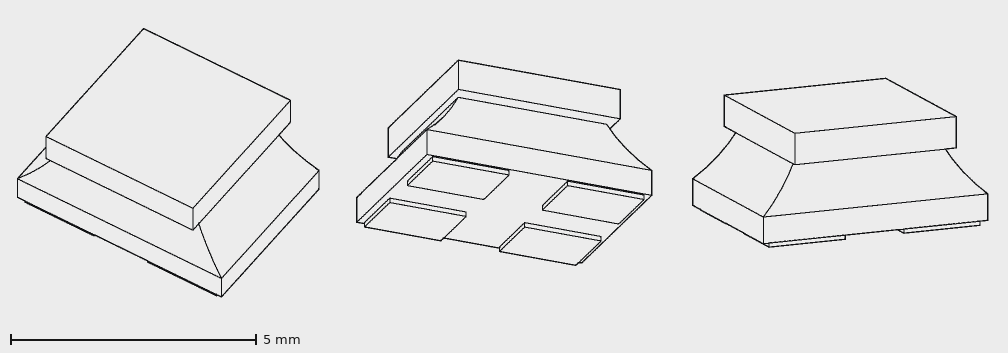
import cadquery as cq

base_length = 5.0
base_width = 3.6
cap_side = base_width

pad_height = 0.1
base_height = 0.56
neck_height = 1.03
cap_height = 0.66
base_bottom = pad_height
neck_bottom = base_bottom + base_height
cap_bottom = neck_bottom + neck_height

end_flare_run = 0.85
end_flare_radius = 3.55
side_flare_run = 0.355
side_flare_radius = 5.0

pad_length = 1.7
pad_width = 1.3
pad_end_inset = 0.15
pad_side_inset = 0.05


def block(length, width, height, bottom):
    """Rectangular block centred on the Z axis."""
    return cq.Workplane("XY").workplane(offset=bottom).rect(length, width).extrude(height)


def flared_prism(plane, bottom_width, flare_run, flare_radius, depth):
    """Prism with a flat bottom and top and two concave arc flanks."""
    bottom_half = bottom_width / 2
    top_half = bottom_half - flare_run
    return (
        cq.Workplane(plane)
        .moveTo(-bottom_half, neck_bottom)
        .lineTo(bottom_half, neck_bottom)
        .radiusArc((top_half, cap_bottom), flare_radius)
        .lineTo(-top_half, cap_bottom)
        .radiusArc((-bottom_half, neck_bottom), flare_radius)
        .close()
        .extrude(depth / 2, both=True)
    )


def make_neck():
    """Neck common to the end-flared and side-flared prisms."""
    end_flared = flared_prism("XZ", base_length, end_flare_run, end_flare_radius, base_width)
    side_flared = flared_prism("YZ", base_width, side_flare_run, side_flare_radius, base_length)
    return end_flared.intersect(side_flared)


def make_housing():
    """One-piece housing: base slab, flared neck and overhanging cap."""
    base = block(base_length, base_width, base_height, base_bottom)
    cap = block(cap_side, cap_side, cap_height, cap_bottom)
    return base.union(make_neck()).union(cap)


def make_pad(center_x, center_y):
    """Flat contact pad touching the underside of the base."""
    return block(pad_length, pad_width, pad_height, 0).translate((center_x, center_y, 0))


pad_center_x = (base_length - pad_length) / 2 - pad_end_inset
pad_center_y = (base_width - pad_width) / 2 - pad_side_inset

housing = make_housing()
pads = []
for x_side in (-1, 1):
    for y_side in (-1, 1):
        pads.append(make_pad(x_side * pad_center_x, y_side * pad_center_y).val())

result = cq.Compound.makeCompound([housing.val(), *pads])